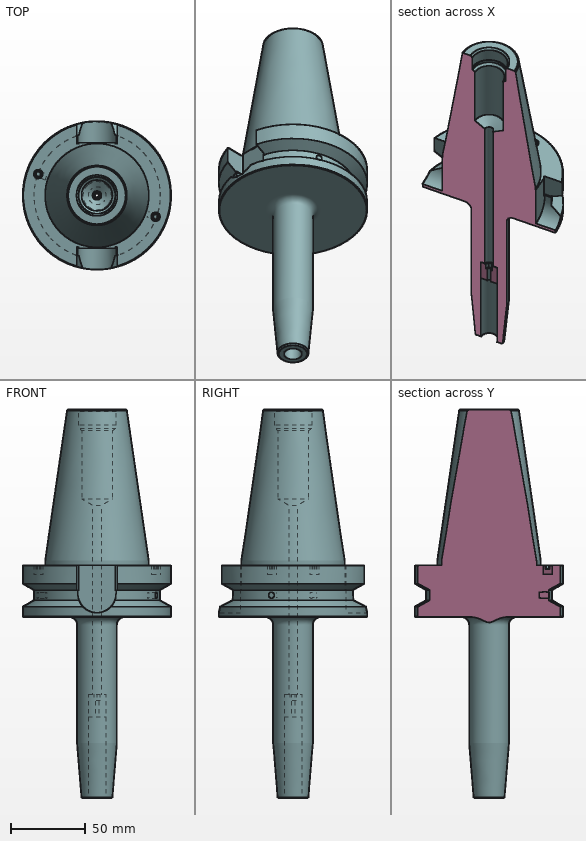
import cadquery as cq
import math


taper_length = 101.8
holder_projection = 160.0

gauge_radius = 69.85 / 2
taper_slope = 7 / 24 / 2
taper_top_radius = gauge_radius - taper_length * taper_slope
taper_edge_chamfer = 0.8

flange_radius = 50.0
flange_top = -3.0
flange_bottom = -38.0
flange_edge_chamfer = 0.5
groove_center = -23.2
groove_radius = 42.5
groove_half_floor = 3.4
groove_wall_angle = math.radians(30)
groove_wall_height = (flange_radius - groove_radius) * math.tan(groove_wall_angle)
groove_half_mouth = groove_half_floor + groove_wall_height

shank_radius = 13.5
shank_fillet = 5.0
nose_top = -122.5
nose_end_radius = 10.5
nose_chamfer = 1.0
nose_bottom = -holder_projection

slot_width = 25.7
slot_floor_distance = 35.4
slot_bottom = -35.0
slot_mouth_width = 27.4
slot_mouth_bottom = groove_center + groove_half_floor
slot_relief_radius = 0.75

pilot_radius = 12.5
pilot_chamfer = 1.3
pilot_depth = 10.5
relief_radius = 12.3
relief_depth = 12.6
thread_radius = 10.4
thread_entry_cone_height = 1.5
thread_entry_depth = relief_depth + thread_entry_cone_height
thread_depth = 60.0
drill_half_angle = math.radians(59)
passage_radius = 3.0
drill_tip_depth = thread_depth + (thread_radius - passage_radius) / math.tan(drill_half_angle)

tool_bore_radius = 6.0
tool_bore_depth = 70.0
stop_screw_length = 15.0
stop_screw_hole_radius = 1.25
stop_screw_across_flats = 4.0
stop_screw_socket_depth = 4.0

pair_angles = (160.0, 340.0)
set_screw_circle_radius = 42.0
set_screw_radius = 3.0
set_screw_length = 6.0
set_screw_chamfer = 0.5
socket_across_flats = 3.0
socket_depth = 2.5
pin_radius = 2.0
pin_length = 6.0
pin_trim_stock = 1.0


def revolve_profile(points):
    return cq.Workplane("XZ").polyline(points).close().revolve(360, (0, 0, 0), (0, 1, 0))


def make_holder_blank():
    """Taper, grooved flange, shank and nose as one turned solid."""
    fillet_drop = shank_fillet * (1 - math.sqrt(0.5))
    profile = (
        cq.Workplane("XZ")
        .moveTo(0, taper_length)
        .lineTo(taper_top_radius - taper_edge_chamfer, taper_length)
        .lineTo(taper_top_radius + taper_edge_chamfer * taper_slope, taper_length - taper_edge_chamfer)
        .lineTo(gauge_radius, 0)
        .lineTo(gauge_radius, flange_top)
        .lineTo(flange_radius - flange_edge_chamfer, flange_top)
        .lineTo(flange_radius, flange_top - flange_edge_chamfer)
        .lineTo(flange_radius, groove_center + groove_half_mouth)
        .lineTo(groove_radius, groove_center + groove_half_floor)
        .lineTo(groove_radius, groove_center - groove_half_floor)
        .lineTo(flange_radius, groove_center - groove_half_mouth)
        .lineTo(flange_radius, flange_bottom + flange_edge_chamfer)
        .lineTo(flange_radius - flange_edge_chamfer, flange_bottom)
        .lineTo(shank_radius + shank_fillet, flange_bottom)
        .threePointArc(
            (shank_radius + fillet_drop, flange_bottom - fillet_drop),
            (shank_radius, flange_bottom - shank_fillet),
        )
        .lineTo(shank_radius, nose_top)
        .lineTo(nose_end_radius, nose_bottom + nose_chamfer)
        .lineTo(nose_end_radius - nose_chamfer, nose_bottom)
        .lineTo(0, nose_bottom)
        .close()
    )
    return profile.revolve(360, (0, 0, 0), (0, 1, 0))


def make_center_bore():
    """Pull stud bore, coolant passage and tool bore."""
    tool_bore_top = nose_bottom + tool_bore_depth
    return revolve_profile([
        (0, taper_length),
        (pilot_radius + pilot_chamfer, taper_length),
        (pilot_radius, taper_length - pilot_chamfer),
        (pilot_radius, taper_length - pilot_depth),
        (relief_radius, taper_length - pilot_depth),
        (relief_radius, taper_length - relief_depth),
        (thread_radius, taper_length - thread_entry_depth),
        (thread_radius, taper_length - thread_depth),
        (passage_radius, taper_length - drill_tip_depth),
        (passage_radius, tool_bore_top),
        (tool_bore_radius, tool_bore_top),
        (tool_bore_radius, nose_bottom),
        (0, nose_bottom),
    ])


def make_drive_slot():
    """Round-bottomed slot on the -Y side, wider and relieved in its corners across the upper rim."""
    slot_depth = flange_radius - slot_floor_distance
    arc_center = slot_bottom + slot_width / 2
    outer_face = cq.Workplane("XZ", origin=(0, -flange_radius, 0))
    slot = (
        outer_face.moveTo(-slot_width / 2, flange_top)
        .lineTo(-slot_width / 2, arc_center)
        .threePointArc((0, slot_bottom), (slot_width / 2, arc_center))
        .lineTo(slot_width / 2, flange_top)
        .close()
        .extrude(-slot_depth)
    )
    mouth = (
        outer_face.moveTo(-slot_mouth_width / 2, flange_top)
        .lineTo(-slot_mouth_width / 2, slot_mouth_bottom)
        .lineTo(slot_mouth_width / 2, slot_mouth_bottom)
        .lineTo(slot_mouth_width / 2, flange_top)
        .close()
        .extrude(-slot_depth)
    )
    relief_offset = slot_mouth_width / 2 - slot_relief_radius
    corner_reliefs = (
        cq.Workplane("XY", origin=(0, -slot_floor_distance, flange_top))
        .pushPoints([(-relief_offset, 0), (relief_offset, 0)])
        .circle(slot_relief_radius)
        .extrude(slot_mouth_bottom - flange_top)
    )
    return slot.union(mouth).union(corner_reliefs)


def make_set_screw_body():
    """Plain envelope of a set screw on the +X side, flush with the flange top."""
    return (
        cq.Workplane("XY", origin=(set_screw_circle_radius, 0, flange_top))
        .circle(set_screw_radius)
        .extrude(-set_screw_length)
    )


def make_set_screw():
    socket = (
        cq.Workplane("XY", origin=(set_screw_circle_radius, 0, flange_top))
        .polygon(6, socket_across_flats, circumscribed=True)
        .extrude(-socket_depth)
    )
    return make_set_screw_body().faces(">Z").chamfer(set_screw_chamfer).cut(socket)


def make_groove_pin():
    """Radial pin on the +X side, flush with the groove floor."""
    end_stock = cq.Workplane("YZ", origin=(groove_radius - pin_length, 0, groove_center))
    pin = end_stock.circle(pin_radius).extrude(pin_length + pin_trim_stock)
    return pin.intersect(cq.Workplane("XY").circle(groove_radius).extrude(2 * flange_bottom))


def make_stop_screw():
    """Drilled hex-socket screw seated against the top of the tool bore."""
    seat = cq.Workplane("XY", origin=(0, 0, nose_bottom + tool_bore_depth))
    body = seat.circle(tool_bore_radius).circle(stop_screw_hole_radius).extrude(-stop_screw_length)
    socket = seat.polygon(6, stop_screw_across_flats, circumscribed=True).extrude(-stop_screw_socket_depth)
    return body.cut(socket)


def around_axis(body, angle):
    return body.rotate((0, 0, 0), (0, 0, 1), angle)


holder = make_holder_blank().cut(make_center_bore())
for slot_angle in (0, 180):
    holder = holder.cut(around_axis(make_drive_slot(), slot_angle))

set_screws = []
groove_pins = []
for pair_angle in pair_angles:
    holder = holder.cut(around_axis(make_set_screw_body(), pair_angle))
    holder = holder.cut(around_axis(make_groove_pin(), pair_angle))
    set_screws.append(around_axis(make_set_screw(), pair_angle).val())
    groove_pins.append(around_axis(make_groove_pin(), pair_angle).val())

stop_screw = make_stop_screw()

result = cq.Compound.makeCompound([holder.val(), *set_screws, *groove_pins, stop_screw.val()])